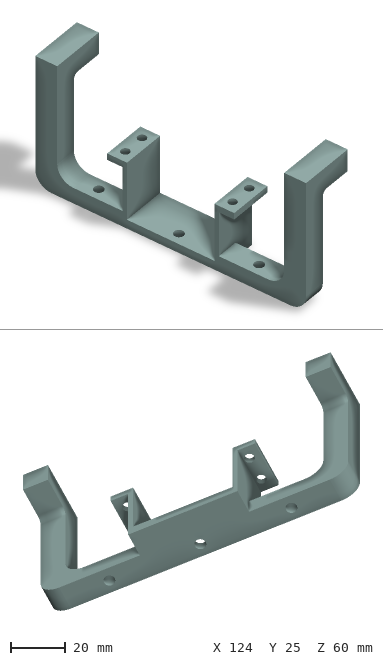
import cadquery as cq

length = 124.0
height = 60.0
hook_reach = 25.0
bar = 10.0
base_thickness = 7.2
corner_radius = 7.5
hook_fillet = 2.5

channel_width = 40.0
channel_floor = 4.1
wall = 2.0
bracket_depth = 20.0
bracket_height = 30.5
flange_width = 9.0
flange_thickness = 3.0

base_hole_diameter = 4.3
base_hole_spacing = 36.7
flange_hole_diameter = 3.8
flange_hole_x = 24.5
front_hole_y = 5.0
rear_hole_y = 15.0


def centered_box(width, depth, z_bottom, z_top):
    """Box centred on X with its front face at Y = 0."""
    return (
        cq.Workplane("XY", origin=(0, 0, z_bottom))
        .rect(width, depth)
        .extrude(z_top - z_bottom)
        .translate((0, depth / 2, 0))
    )


def make_frame():
    outer = centered_box(length, bar, 0, height).edges("|Y and <Z").fillet(corner_radius)
    opening = centered_box(length - 2 * bar, bar, base_thickness, height)
    return outer.cut(opening.edges("|Y and <Z").fillet(corner_radius))


def make_hooks():
    """L-shaped top ends of the arms, with a rounded inner corner."""
    profile = (
        cq.Workplane("YZ")
        .moveTo(0, height)
        .lineTo(hook_reach, height)
        .lineTo(hook_reach, height - bar)
        .lineTo(bar + hook_fillet, height - bar)
        .radiusArc((bar, height - bar - hook_fillet), -hook_fillet)
        .lineTo(0, height - bar - hook_fillet)
        .close()
    )
    hook = profile.extrude(bar)
    left = hook.translate((-length / 2, 0, 0))
    return left.union(left.mirror("YZ"))


def make_bracket():
    walls = centered_box(channel_width + 2 * wall, bracket_depth, 0, bracket_height)
    flanges = centered_box(
        channel_width + 2 * flange_width,
        bracket_depth,
        bracket_height - flange_thickness,
        bracket_height,
    )
    return walls.union(flanges)


def make_holes(points, diameter, z_bottom):
    """Vertical cylinders from z_bottom up to the top of the bracket."""
    return (
        cq.Workplane("XY", origin=(0, 0, z_bottom))
        .pushPoints(points)
        .circle(diameter / 2)
        .extrude(bracket_height - z_bottom)
    )


channel = centered_box(channel_width, bracket_depth, channel_floor, bracket_height)

base_points = [(x, front_hole_y) for x in (-base_hole_spacing, 0, base_hole_spacing)]
base_holes = make_holes(base_points, base_hole_diameter, 0)

flange_points = [(x, y) for x in (-flange_hole_x, flange_hole_x) for y in (front_hole_y, rear_hole_y)]
flange_holes = make_holes(flange_points, flange_hole_diameter, bracket_height - flange_thickness)

result = (
    make_frame()
    .union(make_hooks())
    .union(make_bracket())
    .cut(channel)
    .cut(base_holes)
    .cut(flange_holes)
)